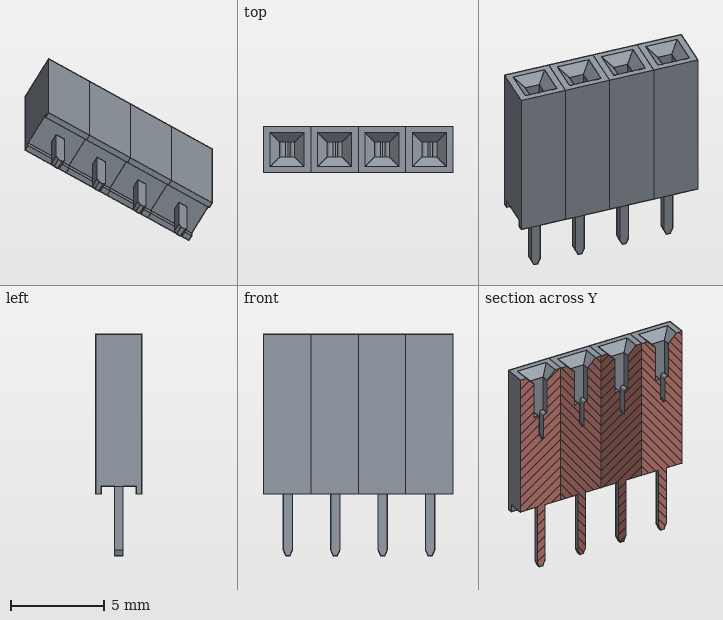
import cadquery as cq

module_count = 4
pitch = 2.54
body_depth = 2.48
overall_height = 11.88

pin_length = 3.31
pin_width = 0.51
pin_thickness = 0.47
pin_tip_width = 0.22
pin_tip_length = 0.33
contact_offset = 0.04

body_height = overall_height - pin_length
foot_thickness = 0.31
foot_height = 0.42

funnel_width = 1.81
hole_width = 0.8
funnel_depth = (funnel_width - hole_width) / 2
finger_drop = 2.5
slot_depth = 1.5
slot_width = 0.25
slot_step = 0.2

finger_thickness = hole_width / 2 + contact_offset - slot_width / 2
crown_radius = finger_thickness / 2
crown_z = body_height - finger_drop
slot_floor_z = crown_z - slot_depth


def make_housing():
    """Block with a channel along X underneath, leaving a foot on each side."""
    block = cq.Workplane("XY").box(pitch, body_depth, body_height, centered=(True, True, False))
    channel_width = body_depth - 2 * foot_thickness
    channel = cq.Workplane("XY").box(pitch, channel_width, foot_height, centered=(True, True, False))
    return block.cut(channel)


def make_funnel():
    """Square pyramid frustum that narrows from the top face to the hole."""
    return (
        cq.Workplane("XY")
        .workplane(offset=body_height)
        .rect(funnel_width, funnel_width)
        .workplane(offset=-funnel_depth)
        .rect(hole_width, hole_width)
        .loft(ruled=True)
    )


def make_finger(center_x):
    """Contact finger with a half-round crown, as wide along Y as the hole."""
    left_x = center_x - crown_radius
    right_x = center_x + crown_radius
    shoulder_z = crown_z - crown_radius
    return (
        cq.Workplane("XZ")
        .moveTo(left_x, slot_floor_z)
        .lineTo(left_x, shoulder_z)
        .threePointArc((center_x, crown_z), (right_x, shoulder_z))
        .lineTo(right_x, slot_floor_z)
        .close()
        .extrude(hole_width / 2, both=True)
    )


def make_cavity():
    """Space inside the square hole, around two fingers and a stepped slot floor."""
    hole_depth = body_height - slot_floor_z
    cavity = (
        cq.Workplane("XY")
        .workplane(offset=slot_floor_z)
        .box(hole_width, hole_width, hole_depth, centered=(True, True, False))
    )
    finger_spacing = slot_width + finger_thickness
    for side in (-1, 1):
        cavity = cavity.cut(make_finger(contact_offset + side * finger_spacing / 2))
    step = (
        cq.Workplane("XY")
        .workplane(offset=slot_floor_z)
        .center(contact_offset - slot_width / 4, 0)
        .box(slot_width / 2, hole_width, slot_step, centered=(True, True, False))
    )
    return cavity.cut(step)


def make_pin():
    """Flat pin from the channel roof down to a tip tapered along X."""
    half_width = pin_width / 2
    half_tip = pin_tip_width / 2
    taper_z = pin_tip_length - pin_length
    return (
        cq.Workplane("XZ")
        .polyline([
            (-half_width, foot_height),
            (-half_width, taper_z),
            (-half_tip, -pin_length),
            (half_tip, -pin_length),
            (half_width, taper_z),
            (half_width, foot_height),
        ])
        .close()
        .extrude(pin_thickness / 2, both=True)
        .translate((contact_offset, 0, 0))
    )


def make_module(center_x):
    """One socket position: housing block with its contact and pin."""
    module = make_housing().cut(make_funnel()).cut(make_cavity()).union(make_pin())
    return module.translate((center_x, 0, 0))


modules = []
for index in range(module_count):
    module_x = (index - (module_count - 1) / 2) * pitch
    modules.append(make_module(module_x).solids().val())

result = cq.Compound.makeCompound(modules)